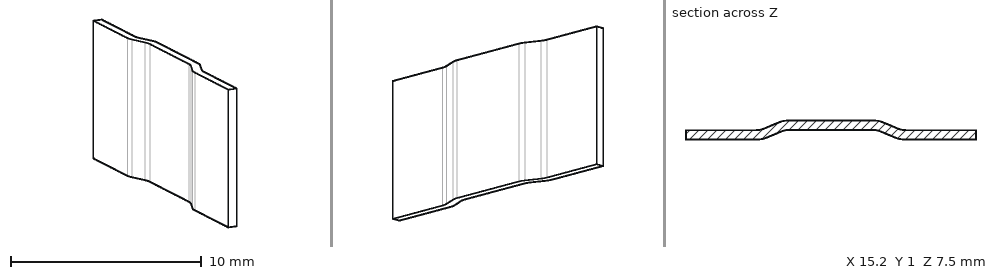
import cadquery as cq
import math

length = 15.2
height = 7.5
thickness = 0.5
offset = 0.5
raised_half_width = 2.4
ramp_run = 1.2
bend_radius = 1.0

half_length = length / 2
bend_angle = math.atan2(offset, ramp_run)

miter_shift = thickness * math.tan(bend_angle / 2)


def face_corners(face_y, upper_x):
    """Sharp corners of one broad face, from -X to +X."""
    lower_x = upper_x + ramp_run
    return [
        (-half_length, face_y),
        (-lower_x, face_y),
        (-upper_x, face_y + offset),
        (upper_x, face_y + offset),
        (lower_x, face_y),
        (half_length, face_y),
    ]


def bent_strip():
    """Constant-thickness strip with a raised middle and sharp bends."""
    front_face = face_corners(0, raised_half_width)
    back_face = face_corners(thickness, raised_half_width + miter_shift)
    outline = front_face + back_face[::-1]
    return cq.Workplane("XY").polyline(outline).close().extrude(height)


def round_bends(strip):
    """Round every bend edge, leaving the edges of the two square ends sharp."""
    bend_edges = strip.edges("(|Z) and (not <X) and (not >X)")
    return bend_edges.fillet(bend_radius)


result = round_bends(bent_strip())